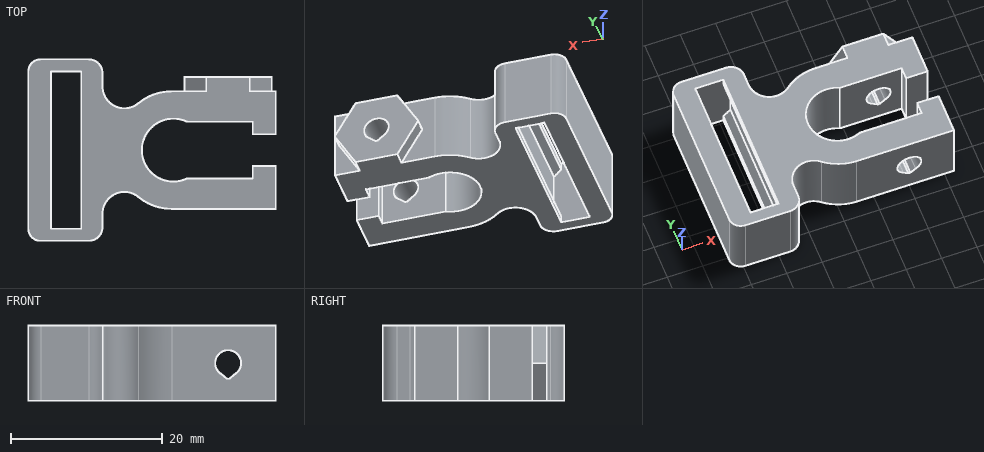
import cadquery as cq
import math

overall_length = 32.76
thickness = 10.0
bar_length = 24.04
bar_width = 9.85
bar_outer_radius = 1.65
bar_inner_radius = 1.85

slot_start = 3.05
slot_width = 3.95
slot_length = bar_length - 2 * bar_outer_radius

groove_depth = 1.0
groove_margin = 1.05

fork_half_width = 7.79
shoulder_radius = 6.9
shoulder_end_x = 18.97
bore_center_x = 19.2
bore_radius = 4.15
fork_gap = 7.5
lip_gap = 4.15
lip_length = 3.06

neck_radius = 2.88

hole_x = 26.45
hole_z = thickness / 2
hole_radius = 1.7
point_depth = 2.06
point_tip_half_width = 0.15
point_root_half_width = 0.87

boss_across_corners = thickness / math.cos(math.pi / 6)
boss_height = 1.9


def make_bar():
    bar = cq.Workplane("XY").box(bar_width, bar_length, thickness, centered=(False, True, False))
    bar = bar.edges("|Z and <X").fillet(bar_outer_radius)
    return bar.edges("|Z and >X").fillet(bar_inner_radius)


def point_on_arc(center, radius, angle):
    return (center[0] + radius * math.cos(angle), center[1] + radius * math.sin(angle))


def make_fork():
    """Neck and fork block: each neck arc is tangent to the bar and to the convex shoulder."""
    shoulder_center = (shoulder_end_x, fork_half_width - shoulder_radius)
    neck_x = bar_width + neck_radius
    run = shoulder_end_x - neck_x
    rise = math.sqrt((shoulder_radius + neck_radius) ** 2 - run ** 2)
    neck_center = (neck_x, shoulder_center[1] + rise)

    tangent_angle = -math.atan2(rise, run)
    neck_middle = point_on_arc(neck_center, neck_radius, (tangent_angle - math.pi) / 2)
    tangent_point = point_on_arc(neck_center, neck_radius, tangent_angle)
    shoulder_middle_angle = (tangent_angle + math.pi + math.pi / 2) / 2
    shoulder_middle = point_on_arc(shoulder_center, shoulder_radius, shoulder_middle_angle)

    root_x = slot_start + slot_width
    half = (
        cq.Workplane("XY")
        .moveTo(root_x, 0)
        .lineTo(root_x, neck_center[1])
        .lineTo(bar_width, neck_center[1])
        .threePointArc(neck_middle, tangent_point)
        .threePointArc(shoulder_middle, (shoulder_end_x, fork_half_width))
        .lineTo(overall_length, fork_half_width)
        .lineTo(overall_length, 0)
        .close()
        .extrude(thickness)
    )
    return half.union(half.mirror("XZ"))


def make_boss():
    return (
        cq.Workplane("XZ", origin=(hole_x, fork_half_width, hole_z))
        .polygon(6, boss_across_corners)
        .extrude(-boss_height)
    )


def make_slot():
    """Through slot whose wall next to the fork has a trapezoidal groove along its full length."""
    slot_end = slot_start + slot_width
    flank = groove_margin + groove_depth
    profile = [
        (slot_start, 0),
        (slot_end, 0),
        (slot_end, groove_margin),
        (slot_end + groove_depth, flank),
        (slot_end + groove_depth, thickness - flank),
        (slot_end, thickness - groove_margin),
        (slot_end, thickness),
        (slot_start, thickness),
    ]
    return cq.Workplane("XZ").polyline(profile).close().extrude(slot_length / 2, both=True)


def make_fork_opening():
    bore = cq.Workplane("XY").center(bore_center_x, 0).circle(bore_radius).extrude(thickness)
    opening_length = overall_length - bore_center_x
    channel = cq.Workplane("XY", origin=(bore_center_x, 0, 0)).box(
        opening_length - lip_length, fork_gap, thickness, centered=(False, True, False)
    )
    mouth = cq.Workplane("XY", origin=(bore_center_x, 0, 0)).box(
        opening_length, lip_gap, thickness, centered=(False, True, False)
    )
    return bore.union(channel).union(mouth)


def make_cross_hole():
    plane = cq.Workplane("XZ", origin=(hole_x, 0, hole_z))
    half_depth = fork_half_width + boss_height
    circle = plane.circle(hole_radius).extrude(half_depth, both=True)
    root_depth = math.sqrt(hole_radius ** 2 - point_root_half_width ** 2)
    profile = [
        (-point_root_half_width, -root_depth),
        (-point_tip_half_width, -point_depth),
        (point_tip_half_width, -point_depth),
        (point_root_half_width, -root_depth),
    ]
    point = plane.polyline(profile).close().extrude(half_depth, both=True)
    return circle.union(point)


body = make_bar().union(make_fork()).union(make_boss())
result = body.cut(make_slot()).cut(make_fork_opening()).cut(make_cross_hole())